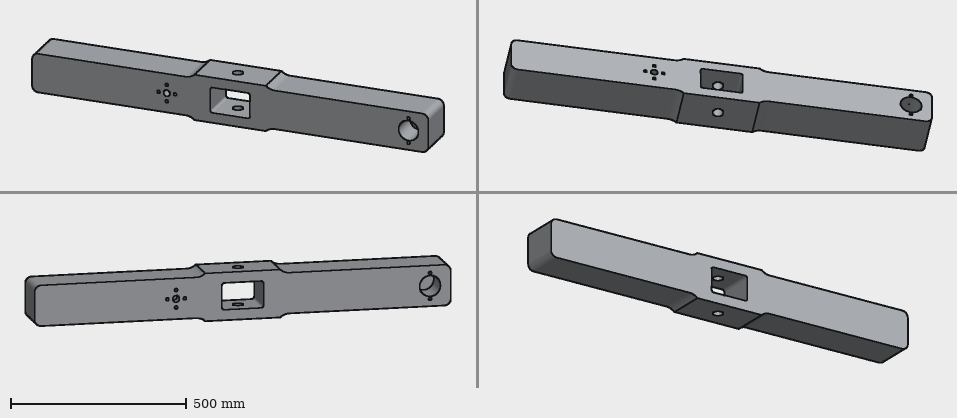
import cadquery as cq
import math

length = 1220.0
width = 120.0
arm_height = 120.0
hub_height = 140.0
end_radius = 20.0

hub_flat_length = 220.0
ramp_step = (hub_height - arm_height) / 2
ramp_length = 27.0
ramp_radius = (ramp_length**2 + ramp_step**2) / (2 * ramp_step)

window_length = 122.0
window_height = 78.0
window_corner_radius = 7.0

vertical_hole_diameter = 30.0

pin_group_x = -195.0
pin_group_hole_diameter = 20.0
pin_hole_diameter = 9.0
pin_offset = 26.0
pin_count = 4
pin_depth = 30.0

bore_x = 549.0
bore_diameter = 61.0
bore_depth = 85.0
bore_pin_offset = 38.0
bore_pin_count = 2


def ramp_middle(side, level):
    """Point halfway round a ramp arc, which is tangent to the arm face."""
    half_angle = math.asin(ramp_length / ramp_radius) / 2
    outer_x = hub_flat_length / 2 + ramp_length
    x = outer_x - ramp_radius * math.sin(half_angle)
    z = arm_height / 2 + ramp_radius * (1 - math.cos(half_angle))
    return (side * x, level * z)


def make_beam():
    end_x = length / 2
    hub_x = hub_flat_length / 2
    ramp_x = hub_x + ramp_length
    arm_z = arm_height / 2
    hub_z = hub_height / 2
    outline = (
        cq.Workplane("XZ")
        .moveTo(-end_x, -arm_z)
        .lineTo(-ramp_x, -arm_z)
        .threePointArc(ramp_middle(-1, -1), (-hub_x, -hub_z))
        .lineTo(hub_x, -hub_z)
        .threePointArc(ramp_middle(1, -1), (ramp_x, -arm_z))
        .lineTo(end_x, -arm_z)
        .lineTo(end_x, arm_z)
        .lineTo(ramp_x, arm_z)
        .threePointArc(ramp_middle(1, 1), (hub_x, hub_z))
        .lineTo(-hub_x, hub_z)
        .threePointArc(ramp_middle(-1, 1), (-ramp_x, arm_z))
        .lineTo(-end_x, arm_z)
        .close()
    )
    beam = outline.extrude(width / 2, both=True)
    return beam.faces("<X or >X").edges("|Y").fillet(end_radius)


def front_plane(x):
    """Workplane on the -Y face at the given X; positive extrusion goes out of the part."""
    return cq.Workplane("XZ", origin=(x, -width / 2, 0))


def make_window():
    window = cq.Workplane("XZ").rect(window_length, window_height).extrude(width / 2, both=True)
    return window.edges("|Y").fillet(window_corner_radius)


def make_vertical_hole():
    return cq.Workplane("XY").circle(vertical_hole_diameter / 2).extrude(hub_height / 2, both=True)


def make_pin_group():
    face = front_plane(pin_group_x)
    centre_hole = face.circle(pin_group_hole_diameter / 2).extrude(-pin_depth)
    pin_holes = (
        face.polarArray(pin_offset, 0, 360, pin_count)
        .circle(pin_hole_diameter / 2)
        .extrude(-pin_depth)
    )
    return centre_hole.union(pin_holes)


def make_pinned_bore():
    face = front_plane(bore_x)
    bore = face.circle(bore_diameter / 2).extrude(-bore_depth)
    pin_holes = (
        face.polarArray(bore_pin_offset, 90, 360, bore_pin_count)
        .circle(pin_hole_diameter / 2)
        .extrude(-pin_depth)
    )
    return bore.union(pin_holes)


result = (
    make_beam()
    .cut(make_window())
    .cut(make_vertical_hole())
    .cut(make_pin_group())
    .cut(make_pinned_bore())
)